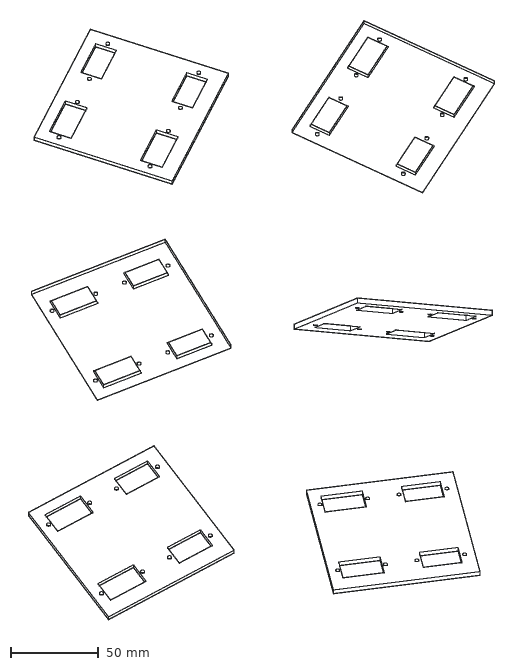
import cadquery as cq

plate_side = 85.0
plate_thickness = 3.0

column_spacing = 56.0
left_column_x = -29.3
column_positions = (left_column_x, left_column_x + column_spacing)
screw_hole_diameter = 2.2
screw_hole_spacing = 27.7

upper_row_y = 22.6
upper_window_width = 12.7
upper_window_length = 22.4

lower_row_y = -23.3
lower_window_width = 13.35
lower_window_length = 24.0


def cut_window_row(plate, row_y, window_width, window_length):
    """Cut one window and its two screw holes through the plate in each column."""
    window_centers = [(x, row_y) for x in column_positions]
    hole_centers = [
        (x, row_y + end * screw_hole_spacing / 2)
        for x in column_positions
        for end in (-1, 1)
    ]
    plate = (
        plate.faces(">Z")
        .workplane(origin=(0, 0, 0))
        .pushPoints(window_centers)
        .rect(window_width, window_length)
        .cutThruAll()
    )
    return (
        plate.faces(">Z")
        .workplane(origin=(0, 0, 0))
        .pushPoints(hole_centers)
        .hole(screw_hole_diameter)
    )


result = cq.Workplane("XY").box(plate_side, plate_side, plate_thickness)
result = cut_window_row(result, upper_row_y, upper_window_width, upper_window_length)
result = cut_window_row(result, lower_row_y, lower_window_width, lower_window_length)